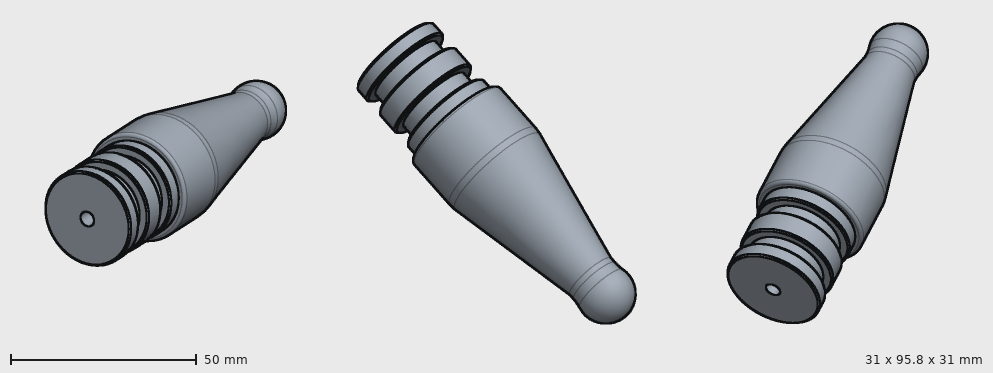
import cadquery as cq
import math

total_length = 95.8

land_radius = 13.5
groove_radius = 10.8
groove_width = 4.7
groove_starts = (4.6, 16.2)
land_chamfer = 0.5
shank_length = 25.2

body_radius = 15.5
body_edge_radius = 1.0
body_end = 40.7
shoulder_blend_radius = 10.0

neck_radius = 7.5
neck_start = 81.3
ball_radius = 8.0
neck_blend_radius = 12.0

hole_radius = 2.1
hole_depth = 9.6


def shank():
    """Cylindrical shank with grooves and chamfered land edges."""
    edges = [0.0]
    for start in groove_starts:
        edges += [start, start + groove_width]
    edges.append(shank_length)

    solid = y_cylinder(groove_radius, 0.0, body_end)
    for start, end in zip(edges[::2], edges[1::2]):
        land = y_cylinder(land_radius, start, end)
        chamfered_ends = "<Y" if end == shank_length else "<Y or >Y"
        solid = solid.union(land.faces(chamfered_ends).edges().chamfer(land_chamfer))
    return solid


def y_cylinder(radius, start, end):
    """Cylinder about the Y axis between two Y positions."""
    return cq.Workplane("XZ", origin=(0, start, 0)).circle(radius).extrude(start - end)


def body_and_tip():
    """Revolved body, taper, neck and ball."""
    blend_x = body_radius - shoulder_blend_radius
    run = neck_start - body_end
    offset = neck_radius - blend_x
    taper_angle = math.atan2(run, offset) - math.acos(shoulder_blend_radius / math.hypot(run, offset))
    blend_end = (
        blend_x + shoulder_blend_radius * math.cos(taper_angle),
        body_end + shoulder_blend_radius * math.sin(taper_angle),
    )
    blend_mid = (
        blend_x + shoulder_blend_radius * math.cos(taper_angle / 2),
        body_end + shoulder_blend_radius * math.sin(taper_angle / 2),
    )

    ball_y = total_length - ball_radius
    center_gap = ball_radius + neck_blend_radius
    fillet_x = neck_radius + neck_blend_radius
    contact_angle = math.acos(fillet_x / center_gap)
    fillet_y = ball_y - center_gap * math.sin(contact_angle)
    contact = (
        ball_radius * math.cos(contact_angle),
        ball_y - ball_radius * math.sin(contact_angle),
    )
    fillet_mid = (
        fillet_x - neck_blend_radius * math.cos(contact_angle / 2),
        fillet_y + neck_blend_radius * math.sin(contact_angle / 2),
    )
    ball_mid = (ball_radius * math.cos(math.pi / 4), ball_y + ball_radius * math.sin(math.pi / 4))

    return (
        cq.Workplane("XY")
        .moveTo(0, shank_length)
        .lineTo(body_radius - body_edge_radius, shank_length)
        .tangentArcPoint((body_radius, shank_length + body_edge_radius), relative=False)
        .lineTo(body_radius, body_end)
        .threePointArc(blend_mid, blend_end)
        .lineTo(neck_radius, neck_start)
        .lineTo(neck_radius, fillet_y)
        .threePointArc(fillet_mid, contact)
        .threePointArc(ball_mid, (0, total_length))
        .close()
        .revolve(360, (0, 0, 0), (0, 1, 0))
    )


result = body_and_tip().union(shank()).cut(y_cylinder(hole_radius, 0.0, hole_depth))